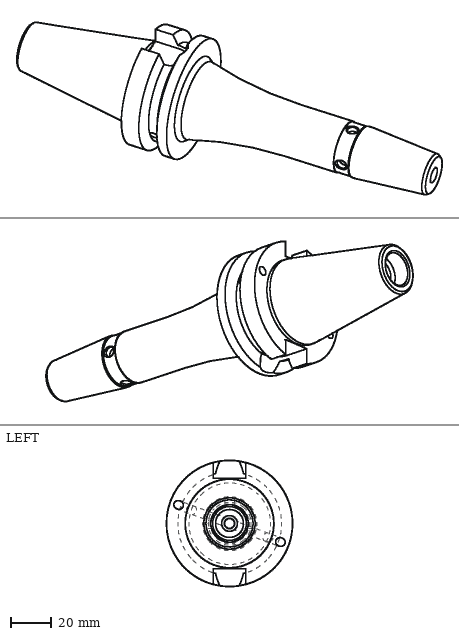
import cadquery as cq
import math

overall_length = 225.5
shank_chamfer_x = 1.1
gauge_x = 65.4
flange_start_x = 67.5
vee_start_x = 77.0
vee_floor_start_x = 79.8
vee_floor_end_x = 84.5
vee_end_x = 87.0
flange_end_x = 92.5
neck_start_x = 95.1
body_start_x = 147.5
band_start_x = 176.3
band_end_x = 184.8
nose_taper_x = 186.9
nose_chamfer_x = 223.8

taper_ratio = 7 / 24
gauge_diameter = 44.5
relief_diameter = 44.2
flange_diameter = 63.0
vee_diameter = 51.8
neck_foot_diameter = 44.6
neck_start_diameter = 40.8
body_diameter = 27.0
band_diameter = 26.4
nose_taper_angle = 4.3
shank_chamfer_depth = 1.0
nose_chamfer_depth = 1.0
relief_chamfer = 0.7
band_chamfer = 0.7

mouth_diameter = 18.7
mouth_depth = 0.7
pilot_diameter = 17.0
pilot_depth = 9.0
thread_diameter = 14.0
thread_depth = 40.5
pilot_chamfer = (pilot_diameter - thread_diameter) / 2
drill_cone_angle = 59.0
coolant_bore_diameter = 8.0
coolant_bore_end_x = 162.3
stop_bore_diameter = 5.0
tool_bore_diameter = 8.0
tool_bore_start_x = 189.3

slot_width = 16.0
slot_end_x = 88.5
slot_floor_height = 22.5

coolant_hole_diameter = 4.3
coolant_hole_angle = 20.0
coolant_entry_radius = 27.0
coolant_tilt = 28.0
groove_hole_x = 82.0

screw_hole_count = 4
screw_hole_x = 180.3
screw_mouth_diameter = 6.5
screw_mouth_depth = 0.7
screw_hole_diameter = 5.0
screw_hole_depth = 3.4


def outer_body():
    """Revolved shank, flange, neck and nose."""
    gauge_r = gauge_diameter / 2
    relief_r = relief_diameter / 2
    flange_r = flange_diameter / 2
    body_r = body_diameter / 2
    band_r = band_diameter / 2

    def taper_r(x):
        return gauge_r - (gauge_x - x) * taper_ratio / 2

    def nose_r(x):
        return body_r - (x - nose_taper_x) * math.tan(math.radians(nose_taper_angle))

    neck_length = body_start_x - neck_start_x
    neck_rise = neck_start_diameter / 2 - body_r
    neck_radius = (neck_length**2 + neck_rise**2) / (2 * neck_rise)
    half_length = neck_length / 2
    neck_mid = (
        body_start_x - half_length,
        body_r + neck_radius - math.sqrt(neck_radius**2 - half_length**2),
    )

    profile = (
        cq.Workplane("XY")
        .moveTo(0, 0)
        .lineTo(0, taper_r(0) - shank_chamfer_depth)
        .lineTo(shank_chamfer_x, taper_r(shank_chamfer_x))
        .lineTo(gauge_x, gauge_r)
        .lineTo(gauge_x + relief_chamfer, relief_r)
        .lineTo(flange_start_x - relief_chamfer, relief_r)
        .lineTo(flange_start_x, gauge_r)
        .lineTo(flange_start_x, flange_r)
        .lineTo(vee_start_x, flange_r)
        .lineTo(vee_floor_start_x, vee_diameter / 2)
        .lineTo(vee_floor_end_x, vee_diameter / 2)
        .lineTo(vee_end_x, flange_r)
        .lineTo(flange_end_x, flange_r)
        .lineTo(flange_end_x, neck_foot_diameter / 2)
        .lineTo(neck_start_x, neck_start_diameter / 2)
        .threePointArc(neck_mid, (body_start_x, body_r))
        .lineTo(band_start_x, body_r)
        .lineTo(band_start_x, band_r)
        .lineTo(band_end_x - band_chamfer, band_r)
        .lineTo(band_end_x, body_r)
        .lineTo(nose_taper_x, body_r)
        .lineTo(nose_chamfer_x, nose_r(nose_chamfer_x))
        .lineTo(overall_length, nose_r(overall_length) - nose_chamfer_depth)
        .lineTo(overall_length, 0)
        .close()
    )
    return profile.revolve(360, (0, 0, 0), (1, 0, 0))


def central_bore():
    """Stepped bore through the whole length, as a solid to remove."""
    thread_r = thread_diameter / 2
    coolant_r = coolant_bore_diameter / 2
    stop_r = stop_bore_diameter / 2
    tool_r = tool_bore_diameter / 2
    cone_length = (thread_r - coolant_r) / math.tan(math.radians(drill_cone_angle))
    profile = (
        cq.Workplane("XY")
        .moveTo(0, 0)
        .lineTo(0, mouth_diameter / 2)
        .lineTo(mouth_depth, pilot_diameter / 2)
        .lineTo(pilot_depth, pilot_diameter / 2)
        .lineTo(pilot_depth + pilot_chamfer, thread_r)
        .lineTo(thread_depth, thread_r)
        .lineTo(thread_depth + cone_length, coolant_r)
        .lineTo(coolant_bore_end_x, coolant_r)
        .lineTo(coolant_bore_end_x, stop_r)
        .lineTo(tool_bore_start_x, stop_r)
        .lineTo(tool_bore_start_x, tool_r)
        .lineTo(overall_length, tool_r)
        .lineTo(overall_length, 0)
        .close()
    )
    return profile.revolve(360, (0, 0, 0), (1, 0, 0))


def drive_slot():
    """Upper drive slot: flat floor, open at the flange face, round inner end."""
    end_center_x = slot_end_x - slot_width / 2
    slot_length = end_center_x - flange_start_x
    slot_height = flange_diameter / 2 - slot_floor_height
    floor = cq.Workplane("XY", origin=(flange_start_x, 0, slot_floor_height))
    straight = floor.rect(2 * slot_length, slot_width).extrude(slot_height)
    round_end = floor.center(slot_length, 0).circle(slot_width / 2).extrude(slot_height)
    return straight.union(round_end)


def coolant_holes():
    """Tilted hole from the flange face and the radial groove hole it meets, on the -Y side."""
    hole_r = coolant_hole_diameter / 2
    tilt = math.radians(coolant_tilt)
    direction = cq.Vector(math.cos(tilt), math.sin(tilt), 0)
    entry = cq.Vector(flange_start_x, -coolant_entry_radius, 0)
    run = (groove_hole_x - flange_start_x) / math.cos(tilt)
    start = entry - direction * coolant_hole_diameter
    tilted = cq.Solid.makeCylinder(hole_r, run + coolant_hole_diameter, start, direction)
    groove_r = vee_diameter / 2
    radial = cq.Solid.makeCylinder(
        hole_r, groove_r, cq.Vector(groove_hole_x, -groove_r, 0), cq.Vector(0, 1, 0)
    )
    holes = cq.Workplane(tilted).union(cq.Workplane(radial))
    return holes.rotate((0, 0, 0), (1, 0, 0), coolant_hole_angle)


def screw_hole():
    """Balancing screw hole from the top: countersunk mouth, cylinder and drill cone."""
    hole_r = screw_hole_diameter / 2
    mouth_r = screw_mouth_diameter / 2
    outer_z = body_diameter / 2
    band_z = band_diameter / 2
    mouth_z = band_z - screw_mouth_depth
    bottom_z = band_z - screw_hole_depth
    tip_z = bottom_z - hole_r / math.tan(math.radians(drill_cone_angle))
    profile = (
        cq.Workplane("XZ", origin=(screw_hole_x, 0, 0))
        .moveTo(0, outer_z)
        .lineTo(mouth_r, outer_z)
        .lineTo(mouth_r, band_z)
        .lineTo(hole_r, mouth_z)
        .lineTo(hole_r, bottom_z)
        .lineTo(0, tip_z)
        .close()
    )
    return profile.revolve(360, (0, 0, 0), (0, 1, 0))


def around_axis(tool, count):
    """Copies of a cutting tool spread evenly around the X axis."""
    return [tool.rotate((0, 0, 0), (1, 0, 0), i * 360 / count) for i in range(count)]


result = outer_body().cut(central_bore())
cutters = (
    around_axis(drive_slot(), 2)
    + around_axis(coolant_holes(), 2)
    + around_axis(screw_hole(), screw_hole_count)
)
for cutter in cutters:
    result = result.cut(cutter)